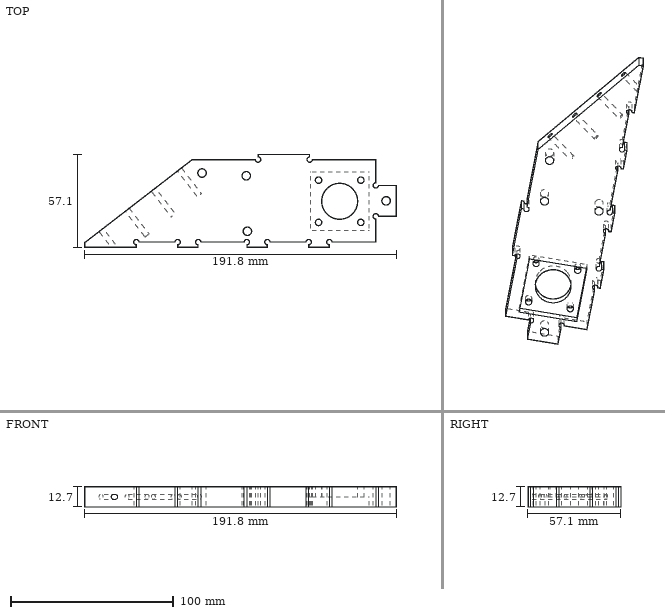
import cadquery as cq
import math

thickness = 12.7
step = 3.175
body_width = 50.8
body_bottom = step
body_top = body_bottom + body_width
body_right = 179.12
slant_start_y = 2.9
slant_end_x = 66.1

tail_length = 31.75
tab_width = 12.7
notch_width = 25.4
first_tab_start = tail_length + notch_width
second_tab_start = 99.75
third_tab_start = second_tab_start + tab_width + notch_width
bottom_tab_starts = (first_tab_start, second_tab_start, third_tab_start)
top_tab_start = 106.7
top_tab_width = 31.75
end_tab_length = 12.7
end_tab_width = 19.05
end_tab_y = (body_bottom + body_top) / 2
relief_diameter = 3.175

pilot_diameter = 22.0
motor_pocket_width = 36.0
motor_pocket_depth = thickness / 2
pilot_x = 156.9
pilot_y = 28.3
screw_diameter = 3.81
screw_pitch = 26.0

mount_diameter = 5.08
mount_points = ((72.2, 45.7), (99.4, 44.0), (100.1, 9.85))

edge_hole_diameter = 3.175
edge_hole_depth = 20.0
edge_hole_pitch = 20.32
edge_hole_count = 4
slant_rise = body_top - slant_start_y
slant_length = math.hypot(slant_end_x, slant_rise)
first_edge_hole = 12.7


def block(x_start, y_start, length, width, height=thickness):
    return cq.Workplane("XY").box(length, width, height, centered=False).translate((x_start, y_start, 0))


def through_holes(points, diameter):
    return cq.Workplane("XY").pushPoints(points).circle(diameter / 2).extrude(thickness)


def body():
    outline = [
        (0, 0),
        (tail_length, 0),
        (tail_length, body_bottom),
        (body_right, body_bottom),
        (body_right, body_top),
        (slant_end_x, body_top),
        (0, slant_start_y),
    ]
    return cq.Workplane("XY").polyline(outline).close().extrude(thickness)


def tabs():
    end_tab_bottom = end_tab_y - end_tab_width / 2
    solid = block(body_right, end_tab_bottom, end_tab_length, end_tab_width)
    solid = solid.union(block(top_tab_start, body_top, top_tab_width, step))
    for start in bottom_tab_starts:
        solid = solid.union(block(start, 0, tab_width, step))
    return solid


def corner_reliefs():
    corners = [(tail_length, body_bottom)]
    for start in bottom_tab_starts:
        corners += [(start, body_bottom), (start + tab_width, body_bottom)]
    corners += [(top_tab_start, body_top), (top_tab_start + top_tab_width, body_top)]
    for side in (-1, 1):
        corners.append((body_right, end_tab_y + side * end_tab_width / 2))
    return through_holes(corners, relief_diameter)


def motor_mount():
    screws = [
        (pilot_x + x_side * screw_pitch / 2, pilot_y + y_side * screw_pitch / 2)
        for x_side in (-1, 1)
        for y_side in (-1, 1)
    ]
    pocket_left = pilot_x - motor_pocket_width / 2
    pocket_bottom = pilot_y - motor_pocket_width / 2
    pocket = block(pocket_left, pocket_bottom, motor_pocket_width, motor_pocket_width, motor_pocket_depth)
    pilot = through_holes([(pilot_x, pilot_y)], pilot_diameter)
    return pocket.union(pilot).union(through_holes(screws, screw_diameter))


def mounting_holes():
    end_tab_center = (body_right + end_tab_length / 2, end_tab_y)
    return through_holes([*mount_points, end_tab_center], mount_diameter)


def slanted_edge_holes():
    along_x = slant_end_x / slant_length
    along_y = slant_rise / slant_length
    inward = cq.Vector(along_y, -along_x, 0)
    holes = cq.Workplane("XY")
    for index in range(edge_hole_count):
        distance = first_edge_hole + index * edge_hole_pitch
        mouth = cq.Vector(distance * along_x, slant_start_y + distance * along_y, thickness / 2)
        holes = holes.add(cq.Solid.makeCylinder(edge_hole_diameter / 2, edge_hole_depth, mouth, inward))
    return holes.combine()


result = body().union(tabs())
result = result.cut(corner_reliefs())
result = result.cut(motor_mount())
result = result.cut(mounting_holes())
result = result.cut(slanted_edge_holes())